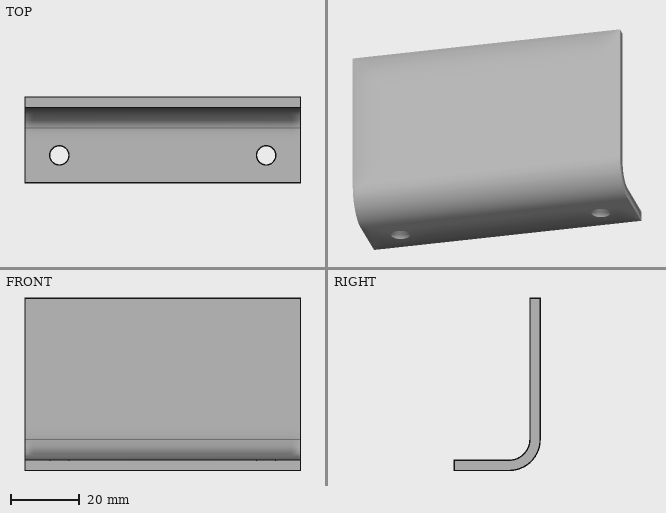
import cadquery as cq

length = 80.0
depth = 25.0
height = 50.0

thickness = 3.0
inner_radius = 6.0
outer_radius = inner_radius + thickness

hole_diameter = 5.5
hole_end_distance = 10.0
hole_front_distance = 8.0


def bent_sheet():
    """L-shaped sheet: foot on the bottom, wall at the back, rounded bend between."""
    outer = cq.Workplane("XY").box(length, depth, height, centered=(True, False, False))
    outer = outer.edges("|X and >Y and <Z").fillet(outer_radius)
    inner = (
        cq.Workplane("XY", origin=(0, 0, thickness))
        .box(length, depth - thickness, height - thickness, centered=(True, False, False))
        .edges("|X and >Y and <Z")
        .fillet(inner_radius)
    )
    return outer.cut(inner)


def mounting_holes():
    """Two through holes, one near each end of the foot."""
    hole_x = length / 2 - hole_end_distance
    return (
        cq.Workplane("XY")
        .pushPoints([(-hole_x, hole_front_distance), (hole_x, hole_front_distance)])
        .circle(hole_diameter / 2)
        .extrude(thickness)
    )


result = bent_sheet().cut(mounting_holes())